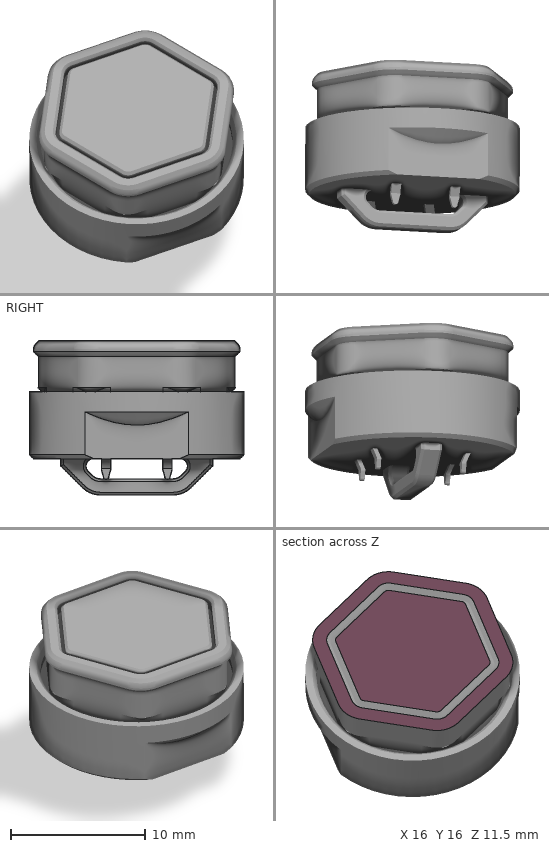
import cadquery as cq
import math

housing_radius = 8.0
housing_height = 5.0
housing_edge_chamfer = 0.3
bore_radius = 14.3 / 2
bore_floor_z = 4.24
flat_offset = 7.0
flat_top_z = 3.5

loop_half_width = 5.66
loop_thickness = 1.6
loop_depth = 2.7
loop_side_height = 0.53
loop_corner_radius = 1.94
loop_chamfer = 0.2
opening_half_width = 4.55
opening_depth = 1.49
opening_end_radius = 1.09 / 2
opening_corner_radius = 0.9

corner_centre_apothem = 4.74
shank_apothem = 6.6
rim_apothem = 6.98
rim_top_z = 8.8
rim_under_edge_z = 8.0
rim_top_chamfer = 0.42
rim_round_radius = 1.09 / 2
recess_apothem = 5.76
top_edge_chamfer = 0.2

foot_radius = 6.9
foot_top_z = 5.31
tip_apothem = 6.5
tip_corner_radius = 0.8
tip_height = 0.51

insert_apothem = 5.47
insert_thickness = 0.6
insert_bottom_z = rim_top_z - insert_thickness
groove_depth = 0.65

terminal_offset = 2.29
strip_width = 0.7
strip_thickness = 0.34
leg_outer_x = 3.45
kink_z = -0.7
leg_slope = 0.45
bridge_top_z = 0.8
leg_end_z = -1.54
taper_start_z = -0.82
taper_end_z = -1.33
taper_end_half_width = 0.2


def hexagon_outline(apothem, corner_radius, z):
    """Wire of a hexagon with rounded corners, two of them on the Y axis."""
    corner_distance = apothem / math.cos(math.pi / 6)
    angles = [math.radians(30 + 60 * i) for i in range(6)]
    corners = [(corner_distance * math.cos(a), corner_distance * math.sin(a)) for a in angles]
    sketch = cq.Sketch().polygon(corners + corners[:1]).vertices().fillet(corner_radius)
    return cq.Workplane("XY").workplane(offset=z).placeSketch(sketch)


def button_outline(apothem, z):
    """Outline of the button family, with corner rounds about the shared centres."""
    return hexagon_outline(apothem, apothem - corner_centre_apothem, z)


def button_hexagon(apothem, bottom_z, top_z):
    return button_outline(apothem, bottom_z).extrude(top_z - bottom_z)


def cylinder(radius, bottom_z, top_z):
    return cq.Workplane("XY").workplane(offset=bottom_z).circle(radius).extrude(top_z - bottom_z)


def make_cup():
    cup = cylinder(housing_radius, 0, housing_height).faces("<Z").chamfer(housing_edge_chamfer)
    cup = cup.cut(cylinder(bore_radius, bore_floor_z, housing_height))
    cup = cup.edges(cq.selectors.RadiusNthSelector(0)).edges(">Z").chamfer(housing_edge_chamfer)
    slope_height = housing_radius - flat_offset
    overhang = cylinder(housing_radius, flat_top_z - slope_height, housing_height)
    overhang = overhang.faces("<Z").chamfer(slope_height)
    core = cq.Workplane("XY").box(2 * flat_offset, 2 * housing_radius, housing_height, (True, True, False))
    return cup.intersect(core.union(overhang))


def make_loop():
    shoulder = loop_half_width - (loop_depth - loop_side_height)
    outline = [
        (-loop_half_width, 0), (-loop_half_width, -loop_side_height), (-shoulder, -loop_depth),
        (shoulder, -loop_depth), (loop_half_width, -loop_side_height), (loop_half_width, 0),
    ]
    plate = cq.Workplane("YZ").polyline(outline).close().extrude(loop_thickness / 2, both=True)
    plate = plate.edges("|X and <Z").fillet(loop_corner_radius)
    plate = plate.faces("<X or >X").edges("not >Z").chamfer(loop_chamfer)

    bottom_half = opening_half_width - opening_depth
    hole = [
        (-opening_half_width, 0), (-bottom_half, -opening_depth),
        (bottom_half, -opening_depth), (opening_half_width, 0),
    ]
    opening = cq.Workplane("YZ").polyline(hole).close().extrude(loop_thickness / 2, both=True)
    opening = opening.edges("|X and >Z").fillet(opening_end_radius)
    opening = opening.edges("|X and <Z").fillet(opening_corner_radius)
    mouth = opening.faces(">X").wires().toPending().offset2D(loop_chamfer)
    mouth = mouth.extrude(-loop_chamfer, taper=45)
    return plate.cut(opening).cut(mouth).cut(mouth.mirror("YZ"))


def make_frame():
    rim_undercut = rim_apothem - shank_apothem
    rim = button_hexagon(rim_apothem, rim_under_edge_z - rim_undercut, rim_top_z)
    rim = rim.faces("<Z").chamfer(rim_undercut)
    rim = rim.faces(">Z").chamfer(rim_top_chamfer)
    round_edge_z = rim_top_z - rim_top_chamfer
    band_half_height = rim_top_chamfer / 10
    round_band = cq.selectors.BoxSelector(
        (-housing_radius, -housing_radius, round_edge_z - band_half_height),
        (housing_radius, housing_radius, round_edge_z + band_half_height),
    )
    rim = rim.edges(round_band).fillet(rim_round_radius)
    shank = button_hexagon(shank_apothem, foot_top_z, rim_under_edge_z)
    foot = button_hexagon(shank_apothem, bore_floor_z, foot_top_z)
    foot = foot.intersect(cylinder(foot_radius, bore_floor_z, foot_top_z))
    tips = hexagon_outline(tip_apothem, tip_corner_radius, foot_top_z).extrude(-tip_height, taper=45)
    body = rim.union(shank).union(foot).union(tips)
    return body.cut(make_recess())


def make_recess():
    """Pocket for the insert, deepened at its edge to a V groove."""
    groove_bottom_z = insert_bottom_z - groove_depth
    recess = button_hexagon(recess_apothem, groove_bottom_z, rim_top_z)
    recess = recess.faces("<Z").chamfer(recess_apothem - insert_apothem)
    seat = button_outline(insert_apothem, groove_bottom_z).extrude(groove_depth, taper=45)
    mouth = button_outline(recess_apothem + top_edge_chamfer, rim_top_z).extrude(-top_edge_chamfer, taper=45)
    return recess.union(mouth).cut(seat)


def make_insert():
    insert = button_hexagon(insert_apothem, insert_bottom_z, rim_top_z)
    return insert.faces(">Z").chamfer(top_edge_chamfer)


def make_terminal(y):
    """Bent strip across the housing, with a leg at each end; its mid-plane is at the given Y."""
    outer_bend_x = leg_outer_x + leg_slope * (bridge_top_z - kink_z)
    outer = [(leg_outer_x, leg_end_z), (leg_outer_x, kink_z), (outer_bend_x, bridge_top_z)]
    bridge_bottom_z = bridge_top_z - strip_thickness
    leg_inner_x = leg_outer_x - strip_thickness
    inner_bend_x = leg_inner_x + leg_slope * (bridge_bottom_z - kink_z)
    inner = [(inner_bend_x, bridge_bottom_z), (leg_inner_x, kink_z), (leg_inner_x, leg_end_z)]
    half_width = strip_width / 2
    half_outline = [(0, bridge_bottom_z)] + inner + outer + [(0, bridge_top_z)]
    half = cq.Workplane("XZ").polyline(half_outline).close().extrude(half_width, both=True)
    strip = half.union(half.mirror("YZ"))

    tapered_front = (
        cq.Workplane("YZ")
        .moveTo(-half_width, bridge_top_z)
        .lineTo(-half_width, taper_start_z)
        .lineTo(-taper_end_half_width, taper_end_z)
        .threePointArc((0, leg_end_z), (taper_end_half_width, taper_end_z))
        .lineTo(half_width, taper_start_z)
        .lineTo(half_width, bridge_top_z)
        .close()
        .extrude(housing_radius, both=True)
    )
    return strip.intersect(tapered_front).translate((0, y, 0))


frame = make_frame()
insert = make_insert()
terminals = [make_terminal(y) for y in (-terminal_offset, terminal_offset)]
housing = make_cup().union(make_loop())
for terminal in terminals:
    housing = housing.cut(terminal)

result = cq.Compound.makeCompound(
    [housing.val(), frame.val(), insert.val(), *[terminal.val() for terminal in terminals]]
)